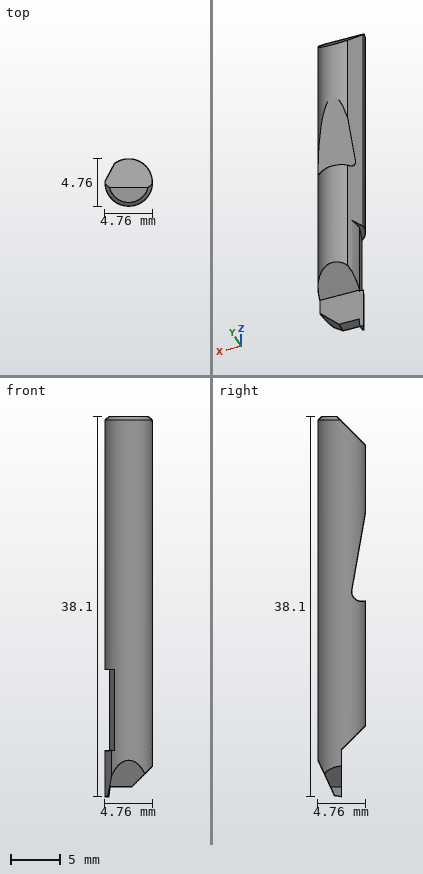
import cadquery as cq
import math

length = 38.1
radius = 2.38
margin = 0.75
outside = radius + margin
end_chamfer = 0.4

flat_angle = 152.0
flat_distance = 2.16

bevel_start_y = -0.5

notch_floor_z = 19.6
notch_top_z = 28.42
notch_angle = 10.0
notch_radius = 0.95

recess_bottom_z = 4.6
recess_top_z = 12.73
recess_crest_x = -1.95
recess_low_x = -1.43
recess_low_y = -math.sqrt(radius**2 - recess_low_x**2)
recess_crown_radius = 4.2

rake_shoulder_z = 4.72
front_relief_angle = 25.0
front_relief_z = 3.65
tip_depth = 0.75
tip_heel_z = 0.1
heel_z = 1.0
tip_inner_x = -2.0
tip_root_x = -1.85
heel_end_x = 0.3
side_relief_x = -1.7
side_relief_y = -math.sqrt(radius**2 - side_relief_x**2)


def prism_along_x(points):
    """Extrude a (Y, Z) outline through the full width of the shank."""
    return cq.Workplane("YZ").polyline(points).close().extrude(outside, both=True)


def make_shank():
    return cq.Workplane("XY").circle(radius).extrude(length).faces(">Z").chamfer(end_chamfer)


def make_flat():
    cutter = cq.Workplane("XY").box(margin, 2 * outside, length, centered=(False, True, False))
    return cutter.translate((flat_distance, 0, 0)).rotate((0, 0, 0), (0, 0, 1), flat_angle)


def make_top_bevel():
    rise = outside - bevel_start_y
    return prism_along_x([(bevel_start_y, length), (outside, length), (outside, length - rise)])


def make_clamping_notch():
    slope = math.tan(math.radians(notch_angle))
    corner_y = radius - (notch_top_z - notch_floor_z) * slope
    outer_z = notch_top_z + margin / slope
    wedge = prism_along_x([(corner_y, notch_floor_z), (outside, notch_floor_z), (outside, outer_z)])
    return wedge.edges("|X and <Y").fillet(notch_radius)


def make_side_recess():
    """Flat face below Y = 0, gently crowned face above it."""
    crown_drop = recess_crown_radius - math.sqrt(recess_crown_radius**2 - radius**2)
    half_y = radius / 2
    half_drop = recess_crown_radius - math.sqrt(recess_crown_radius**2 - half_y**2)
    return (
        cq.Workplane("XY", origin=(0, 0, recess_bottom_z))
        .moveTo(-outside, recess_low_y)
        .lineTo(recess_low_x, recess_low_y)
        .lineTo(recess_crest_x, 0)
        .threePointArc((recess_crest_x + half_drop, half_y), (recess_crest_x + crown_drop, radius))
        .lineTo(-outside, radius)
        .close()
        .extrude(recess_top_z - recess_bottom_z)
    )


def make_rake_cut():
    """Removes the +Y half at the tip, running out at 45 degrees."""
    return prism_along_x(
        [(0, 0), (outside, 0), (outside, rake_shoulder_z + outside), (0, rake_shoulder_z)]
    )


def make_front_relief():
    slope = math.tan(math.radians(front_relief_angle))
    outer_z = front_relief_z + margin / slope
    heel_y = -radius + (front_relief_z - tip_heel_z) * slope
    return prism_along_x(
        [(0, 0), (-tip_depth, tip_heel_z), (heel_y, tip_heel_z), (-outside, outer_z), (-outside, 0)]
    )


def make_heel_cut():
    """Leaves a narrow tip on the -X side and a 45 degree corner on the +X side."""
    outline = [
        (tip_inner_x, 0),
        (tip_root_x, heel_z),
        (heel_end_x, heel_z),
        (outside, heel_z + outside - heel_end_x),
        (outside, 0),
    ]
    return cq.Workplane("XZ").polyline(outline).close().extrude(outside, both=True)


def make_side_relief():
    outline = [(-radius, 0), (side_relief_x, side_relief_y), (-outside, side_relief_y), (-outside, 0)]
    return cq.Workplane("XY").polyline(outline).close().extrude(recess_bottom_z)


result = (
    make_shank()
    .cut(make_flat())
    .cut(make_top_bevel())
    .cut(make_clamping_notch())
    .cut(make_side_recess())
    .cut(make_rake_cut())
    .cut(make_front_relief())
    .cut(make_heel_cut())
    .cut(make_side_relief())
)